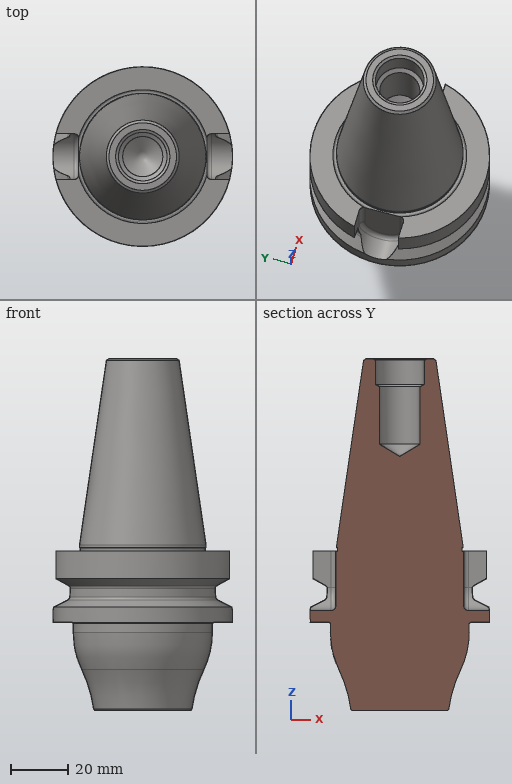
import cadquery as cq
import math

total_height = 123.4

flange_radius = 31.5
flange_bottom = 31.0
flange_top = 56.0
groove_radius = 26.7
groove_upper_edge = 46.3
groove_lower_edge = 36.3
groove_flank_angle = math.radians(30)
groove_fillet = 1.2

gauge_radius = 22.2
taper_base = 58.1
taper_slope = 7 / 48
taper_top_chamfer_width = 0.9
taper_top_chamfer_height = 0.6
land_bottom = 57.3
relief_radius = 22.0
relief_outer_radius = 23.5
relief_depth = 0.1
relief_rim_width = 0.4

nose_radius = 24.4
nose_collar_radius = 24.9
nose_collar_height = 0.5
nose_cylinder_bottom = 27.4
nose_bend_radius = 21.5
nose_bend_height = 14.4
nose_end_radius = 17.3
nose_chamfer = 0.5

bore_radius = 8.5
bore_depth = 9.0
bore_chamfer_width = 1.0
bore_chamfer_height = 0.5
bore_ledge_angle = math.radians(120)
drill_radius = 7.0
drill_depth = 30.0
drill_point_angle = math.radians(118)

slot_width = 16.0
slot_floor = 22.5
slot_center_height = 43.2
slot_fillet = 1.6


def make_body():
    """Solid of revolution: nose, flange and taper."""
    groove_rise = (flange_radius - groove_radius) * math.tan(groove_flank_angle)
    taper_top_radius = gauge_radius - (total_height - taper_base) * taper_slope
    chamfer_base_radius = taper_top_radius + taper_top_chamfer_height * taper_slope
    body = (
        cq.Workplane("XZ")
        .moveTo(0, 0)
        .lineTo(nose_end_radius - nose_chamfer, 0)
        .lineTo(nose_end_radius, nose_chamfer)
        .threePointArc(*nose_hollow_points())
        .tangentArcPoint((nose_radius, nose_cylinder_bottom), relative=False)
        .lineTo(nose_radius, flange_bottom - nose_collar_height)
        .lineTo(nose_collar_radius, flange_bottom)
        .lineTo(flange_radius, flange_bottom)
        .lineTo(flange_radius, groove_lower_edge)
        .lineTo(groove_radius, groove_lower_edge + groove_rise)
        .lineTo(groove_radius, groove_upper_edge - groove_rise)
        .lineTo(flange_radius, groove_upper_edge)
        .lineTo(flange_radius, flange_top)
        .lineTo(relief_outer_radius, flange_top)
        .lineTo(relief_outer_radius - relief_rim_width, flange_top - relief_depth)
        .lineTo(relief_radius, flange_top - relief_depth)
        .lineTo(relief_radius, land_bottom - (gauge_radius - relief_radius))
        .lineTo(gauge_radius, land_bottom)
        .lineTo(gauge_radius, taper_base)
        .lineTo(chamfer_base_radius, total_height - taper_top_chamfer_height)
        .lineTo(taper_top_radius - taper_top_chamfer_width, total_height)
        .lineTo(0, total_height)
        .close()
        .revolve(360, (0, 0, 0), (0, 1, 0))
    )
    groove_floor_ends = cq.selectors.BoxSelector(
        (-flange_radius, -flange_radius, groove_lower_edge + groove_rise / 2),
        (flange_radius, flange_radius, groove_upper_edge - groove_rise / 2),
    )
    return body.edges("%CIRCLE").edges(groove_floor_ends).fillet(groove_fillet)


def nose_hollow_points():
    """Middle and end of the hollow nose arc, tangent at its end to the bulging arc."""
    bulge_drop = nose_cylinder_bottom - nose_bend_height
    bulge_inset = nose_radius - nose_bend_radius
    bend_angle = 2 * math.atan2(bulge_inset, bulge_drop)
    hollow_drop = nose_bend_height - nose_chamfer
    hollow_inset = nose_bend_radius - nose_end_radius
    chord = math.hypot(hollow_drop, hollow_inset)
    chord_angle = math.atan2(hollow_inset, hollow_drop)
    sag = chord / 2 * math.tan((bend_angle - chord_angle) / 2)
    middle = (
        (nose_bend_radius + nose_end_radius) / 2 - sag * math.cos(chord_angle),
        (nose_bend_height + nose_chamfer) / 2 + sag * math.sin(chord_angle),
    )
    return middle, (nose_bend_radius, nose_bend_height)


def make_bore():
    """Chamfered counterbore with a conical ledge, then a drilled hole with a conical point."""
    drill_bottom = total_height - drill_depth
    drill_tip = drill_bottom - drill_radius / math.tan(drill_point_angle / 2)
    ledge_drop = (bore_radius - drill_radius) / math.tan(bore_ledge_angle / 2)
    return (
        cq.Workplane("XZ")
        .moveTo(0, total_height)
        .lineTo(bore_radius + bore_chamfer_width, total_height)
        .lineTo(bore_radius, total_height - bore_chamfer_height)
        .lineTo(bore_radius, total_height - bore_depth)
        .lineTo(drill_radius, total_height - bore_depth - ledge_drop)
        .lineTo(drill_radius, drill_bottom)
        .lineTo(0, drill_tip)
        .close()
        .revolve(360, (0, 0, 0), (0, 1, 0))
    )


def make_slot():
    """Cutter for the +X slot: round lower end, open top, filleted along its floor."""
    half_width = slot_width / 2
    return (
        cq.Workplane("YZ", origin=(slot_floor, 0, 0))
        .moveTo(-half_width, total_height)
        .lineTo(-half_width, slot_center_height)
        .threePointArc((0, slot_center_height - half_width), (half_width, slot_center_height))
        .lineTo(half_width, total_height)
        .close()
        .extrude(flange_radius)
        .faces("<X")
        .edges()
        .fillet(slot_fillet)
    )


result = make_body().cut(make_bore())
for slot_angle in (0, 180):
    result = result.cut(make_slot().rotate((0, 0, 0), (0, 0, 1), slot_angle))